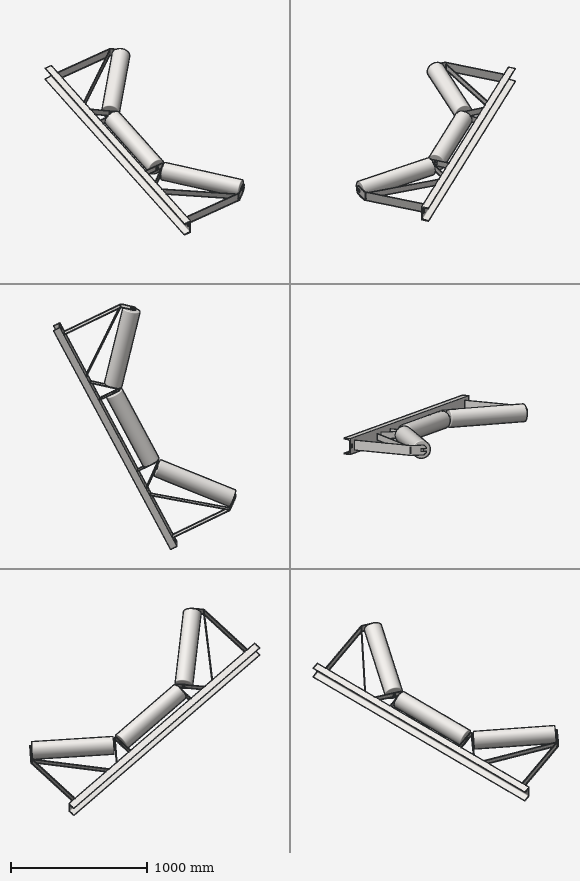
import cadquery as cq
import math


beam_length = 1900
beam_height = 120.0
flange_depth = 53.0
web_thickness = 8.0
flange_root_thickness = 11.0
flange_tip_thickness = 8.0
flange_root_radius = 8.0
flange_tip_radius = 4.0
slot_width = 17.0
slot_height = 25.0
slot_end_inset = 28.0

roller_diameter = 133
roller_length = 600.0
roller_edge_radius = 5.0
trough_angle = 40
centre_roller_y = 118.0
side_roller_x = 589
side_roller_y = 330.0
shaft_size = 19.0

strip_thickness = 5.0
outer_strip_width = 75.0
inner_strip_width = 50.0
side_roller_gap = 10.0
centre_roller_gap = 5.0
post_x = 882.0
tip_overhang = 30.0
tip_chamfer = 17.0
post_bend_radius = 10.0
fold_bend_radius = 4.0

brace_foot_x = 519.0
brace_drop = 2.0

half_strip = strip_thickness / 2
plate_offset = roller_length / 2 + side_roller_gap + half_strip
centre_post_x = roller_length / 2 + centre_roller_gap + half_strip

axis_x = -math.cos(math.radians(trough_angle))
axis_y = math.sin(math.radians(trough_angle))
across_x = axis_y
across_y = -axis_x


def beside_side_roller(along, across):
    """Point placed from the middle of the left side roller, along and across its axis."""
    return (
        -side_roller_x + along * axis_x + across * across_x,
        side_roller_y + along * axis_y + across * across_y,
    )


def plate_point_at_x(along, x):
    """Point with the given X on the line square to the left side roller's axis."""
    start_x, start_y = beside_side_roller(along, 0)
    return (x, start_y + (x - start_x) * across_y / across_x)


def plate_point_at_y(along, y):
    """Point with the given Y on the line square to the left side roller's axis."""
    start_x, start_y = beside_side_roller(along, 0)
    return (start_x + (y - start_y) * across_x / across_y, y)


post_bend = plate_point_at_x(plate_offset, -post_x)


def mirrored(body):
    return body.mirror("YZ")


def make_beam():
    """Channel with tapered flanges, open towards -Y, with a slot near each end."""
    half_height = beam_height / 2
    root_z = half_height - flange_root_thickness
    tip_z = half_height - flange_tip_thickness
    beam = (
        cq.Workplane("YZ")
        .polyline([
            (0, -half_height),
            (0, half_height),
            (-flange_depth, half_height),
            (-flange_depth, tip_z),
            (-web_thickness, root_z),
            (-web_thickness, -root_z),
            (-flange_depth, -tip_z),
            (-flange_depth, -half_height),
        ])
        .close()
        .extrude(beam_length / 2, both=True)
    )
    for side in (-1, 1):
        root = cq.selectors.NearestToPointSelector((0, -web_thickness, side * root_z))
        beam = beam.edges(root).fillet(flange_root_radius)
        tip = cq.selectors.NearestToPointSelector((0, -flange_depth, side * tip_z))
        beam = beam.edges(tip).fillet(flange_tip_radius)
    slot_x = beam_length / 2 - slot_end_inset
    slots = (
        cq.Workplane("XZ")
        .pushPoints([(-slot_x, 0), (slot_x, 0)])
        .rect(slot_width, slot_height)
        .extrude(web_thickness)
    )
    return beam.cut(slots)


def make_roller(x, y, angle, gap):
    """Roller with a square shaft whose ends stand out on both sides."""
    shell = (
        cq.Workplane("YZ")
        .workplane(offset=-roller_length / 2)
        .circle(roller_diameter / 2)
        .extrude(roller_length)
        .edges()
        .fillet(roller_edge_radius)
    )
    shaft_length = roller_length + 2 * (gap + strip_thickness)
    shaft = cq.Workplane("XY").box(shaft_length, shaft_size, shaft_size)
    return shell.union(shaft).rotate((0, 0, 0), (0, 0, 1), angle).translate((x, y, 0))


def make_bent_strip(start, bend, end, width, inner_radius):
    """Flat strip standing on edge along start-bend-end, bent to the right, with a rounded bend."""
    first_angle = math.atan2(bend[1] - start[1], bend[0] - start[0])
    last_angle = math.atan2(end[1] - bend[1], end[0] - bend[0])
    middle_angle = (first_angle + last_angle) / 2
    mitre = half_strip / math.cos((last_angle - first_angle) / 2)

    def beside(point, angle, distance):
        return (point[0] - distance * math.sin(angle), point[1] + distance * math.cos(angle))

    outer_bend = beside(bend, middle_angle, mitre)
    inner_bend = beside(bend, middle_angle, -mitre)
    strip = (
        cq.Workplane("XY")
        .polyline([
            beside(start, first_angle, half_strip),
            outer_bend,
            beside(end, last_angle, half_strip),
            beside(end, last_angle, -half_strip),
            inner_bend,
            beside(start, first_angle, -half_strip),
        ])
        .close()
        .extrude(width / 2, both=True)
    )
    inner_edge = cq.selectors.NearestToPointSelector((*inner_bend, 0))
    strip = strip.edges(inner_edge).fillet(inner_radius)
    outer_edge = cq.selectors.NearestToPointSelector((*outer_bend, 0))
    return strip.edges(outer_edge).fillet(inner_radius + strip_thickness)


def make_outer_bracket():
    """Left post, bent over behind the roller's outer end, with an open slot for the shaft."""
    tip = beside_side_roller(plate_offset, tip_overhang)
    bracket = make_bent_strip((-post_x, 0), post_bend, tip, outer_strip_width, post_bend_radius)
    for side in (-1, 1):
        corner = cq.selectors.NearestToPointSelector((*tip, side * outer_strip_width / 2))
        bracket = bracket.edges(corner).chamfer(tip_chamfer)
    slot_length = tip_overhang + shaft_size / 2
    slot_centre = beside_side_roller(plate_offset, tip_overhang - slot_length / 2)
    slot = (
        cq.Workplane("XY")
        .box(2 * strip_thickness, slot_length, shaft_size)
        .rotate((0, 0, 0), (0, 0, 1), -trough_angle)
        .translate((*slot_centre, 0))
    )
    return bracket.cut(slot)


def make_inner_bracket(rollers):
    """Left folded strip: a leg square to the side roller and a leg square to the centre roller."""
    leg_x = -centre_post_x
    foot_overrun = plate_point_at_y(-plate_offset, -strip_thickness)
    bracket = make_bent_strip(
        foot_overrun,
        plate_point_at_x(-plate_offset, leg_x),
        (leg_x, 0),
        inner_strip_width,
        fold_bend_radius,
    )
    beam_side = cq.Workplane("XY").box(
        beam_length, flange_depth, beam_height, centered=(True, False, True)
    ).translate((0, -flange_depth, 0))
    bracket = bracket.cut(beam_side)
    for roller in rollers:
        bracket = bracket.cut(roller)
    return bracket


def make_brace(bracket):
    """Left flat strip from the beam's back face up to the inside of the post, just under its bend."""
    top_x = post_bend[0]
    top_y = post_bend[1] - brace_drop
    angle = math.atan2(top_y, -brace_foot_x - top_x)
    half_foot = half_strip / math.sin(angle)
    half_top = half_strip / math.cos(angle)
    brace = (
        cq.Workplane("XY")
        .polyline([
            (-brace_foot_x - half_foot, 0),
            (-brace_foot_x + half_foot, 0),
            (top_x, top_y + half_top),
            (top_x, top_y - half_top),
        ])
        .close()
        .extrude(inner_strip_width / 2, both=True)
    )
    return brace.cut(bracket)


beam = make_beam()
centre_roller = make_roller(0, centre_roller_y, 0, centre_roller_gap)
left_roller = make_roller(-side_roller_x, side_roller_y, -trough_angle, side_roller_gap)
outer_bracket = make_outer_bracket()
inner_bracket = make_inner_bracket([centre_roller, left_roller])
brace = make_brace(outer_bracket)

bodies = [beam.val(), centre_roller.val()]
for left_body in (left_roller, outer_bracket, inner_bracket, brace):
    bodies.append(left_body.val())
    bodies.append(mirrored(left_body).val())

result = cq.Compound.makeCompound(bodies)